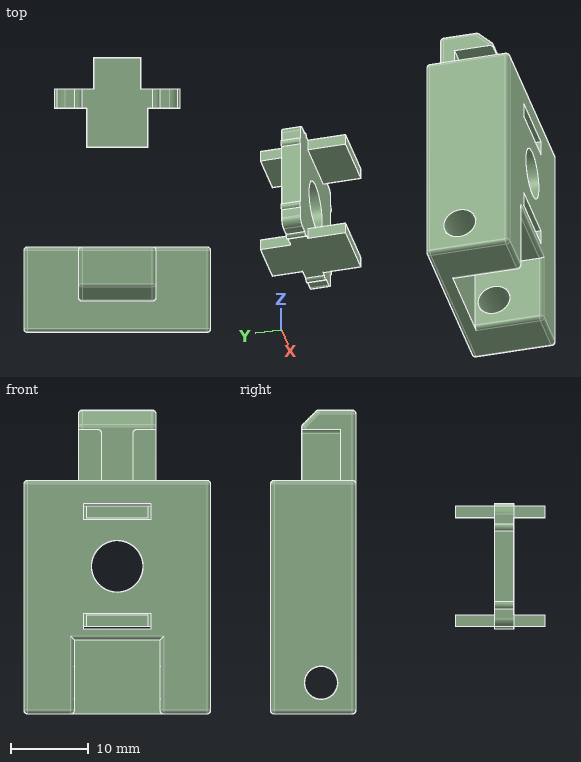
import cadquery as cq

edge_radius = 0.5
back_wall = 2.0

block_width = 24.0
block_depth = 11.0
block_height = 30.0

total_height = 39.0
neck_width = 10.0
neck_depth = 7.0
neck_chamfer = 2.0
post_width = 4.0
head_underside = 36.5
neck_front = block_depth - neck_depth

notch_width = 11.0
notch_height = 9.5
notch_depth = block_depth - back_wall

cross_hole_diameter = 4.2
cross_hole_z = 4.0
cross_hole_y = block_depth - 4.5

centre_z = 18.95
centre_hole_diameter = 6.6
front_wall = 2.3
pocket_size = 16.03
pocket_corner_radius = edge_radius
slot_width = 8.6
slot_height = 2.0

clip_size = 15.5
clip_thickness = 2.5
clip_corner_radius = 1.0
clip_rear = 35.25
tab_thickness = 1.52
front_tab_width = 7.85
front_tab_length = 5.0
rear_tab_width = 6.1
rear_tab_length = 4.0
bump_radius = 0.5
bump_height = 0.3
bump_offset = 5.0
clip_back = clip_rear - rear_tab_length
clip_front = clip_back - clip_thickness


def box(width, y_start, y_end, z_start, z_end, x=0):
    """A box centred on the given X, between two Y and two Z limits."""
    size = (width, y_end - y_start, z_end - z_start)
    return cq.Workplane("XY").box(*size, centered=(True, False, False)).translate((x, y_start, z_start))


def front_plane(y):
    """Plane parallel to XZ, centred on the clip axis; extrusions go toward +Y and local X is -X."""
    return cq.Workplane(cq.Plane(origin=(0, y, centre_z), xDir=(-1, 0, 0), normal=(0, 1, 0)))


def make_block():
    """Block with the notch in its front and rounded outer edges."""
    block = box(block_width, 0, block_depth, 0, block_height).edges().fillet(edge_radius)
    block = block.cut(box(notch_width, 0, notch_depth, 0, notch_height))
    notch_rim = cq.selectors.BoxSelector(
        (-notch_width, -edge_radius / 2, edge_radius),
        (notch_width, edge_radius / 2, notch_height + edge_radius),
    )
    return block.edges(notch_rim).fillet(edge_radius)


def make_neck():
    """Neck with a chamfered head, a central post and a recess on each side of it."""
    root = block_height - edge_radius
    neck = box(neck_width, neck_front, block_depth, root, total_height)
    neck = neck.edges(">Z and <Y").chamfer(neck_chamfer)
    neck = neck.edges("not <Z").fillet(edge_radius)
    recess_width = (neck_width - post_width) / 2
    recess_x = (neck_width + post_width) / 4
    for side in (-1, 1):
        recess = box(
            recess_width, neck_front, block_depth - back_wall, block_height, head_underside, side * recess_x
        )
        inner_edge = recess.faces(">Z").edges(">X" if side < 0 else "<X")
        neck = neck.cut(inner_edge.fillet(edge_radius))
    return neck


def tab_positions():
    """Lower and upper Z of each clip tab, flush with the bottom and top of the plate."""
    half = clip_size / 2
    return [
        (centre_z - half, centre_z - half + tab_thickness),
        (centre_z + half - tab_thickness, centre_z + half),
    ]


def make_housing():
    """Block and neck with the rear pocket, central hole, tab slots and cross hole."""
    housing = make_block().union(make_neck())
    pocket = (
        front_plane(front_wall).rect(pocket_size, pocket_size).extrude(block_depth - front_wall)
        .edges("|Y").fillet(pocket_corner_radius)
    )
    centre_hole = front_plane(0).circle(centre_hole_diameter / 2).extrude(block_depth)
    slot_offset = (pocket_size - slot_height) / 2
    slots = (
        front_plane(0).pushPoints([(0, -slot_offset), (0, slot_offset)])
        .rect(slot_width, slot_height).extrude(block_depth)
    )
    cross_hole = (
        cq.Workplane("YZ").center(cross_hole_y, cross_hole_z)
        .circle(cross_hole_diameter / 2).extrude(block_width / 2, both=True)
    )
    return housing.cut(pocket).cut(centre_hole).cut(slots).cut(cross_hole)


def make_clip():
    """Plate with rounded bumps on its edges, a central hole and tabs along top and bottom."""
    clip = (
        front_plane(clip_front).rect(clip_size, clip_size).extrude(clip_thickness)
        .edges("|Y").fillet(clip_corner_radius)
    )
    bump_axis = clip_size / 2 + bump_height - bump_radius
    bump_centres = []
    for x_side in (-1, 1):
        for z_side in (-1, 1):
            bump_centres.append((x_side * bump_axis, z_side * bump_offset))
            bump_centres.append((x_side * bump_offset, z_side * bump_axis))
    clip = clip.union(
        front_plane(clip_front).pushPoints(bump_centres).circle(bump_radius).extrude(clip_thickness)
    )
    for z_start, z_end in tab_positions():
        clip = clip.union(box(front_tab_width, clip_front - front_tab_length, clip_back, z_start, z_end))
        clip = clip.union(box(rear_tab_width, clip_front, clip_rear, z_start, z_end))
    return clip.cut(front_plane(clip_front).circle(centre_hole_diameter / 2).extrude(clip_thickness))


housing = make_housing()
clip = make_clip()
result = cq.Compound.makeCompound([housing.val(), clip.val()])